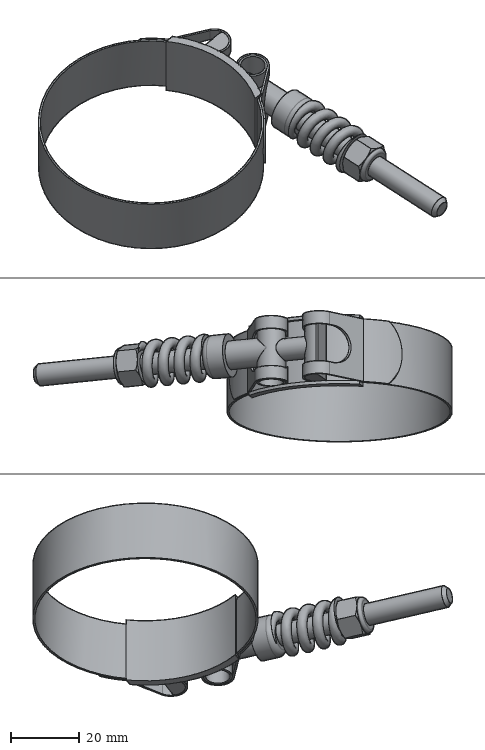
import cadquery as cq
import math


band_radius = 33.1
band_thickness = 0.6
band_width = 19.1
bridge_width = 21.1
bridge_web = 0.75
bridge_length = 34.8
flange_radius = 34.1

axis_y = 36.8
trunnion_x = 7.5
trunnion_radius = 4.25

strap_thickness = 0.6
strap_slope = 59
loop_end_angle = 27
tip_angle = 53.8
tip_radius = 12.6
slot_width = 11.4
slot_bottom_y = 32.3

bolt_radius = 3.3
overall_length = 114.54
bolt_end_x = overall_length - band_radius
bolt_tip_length = 1.2
bolt_tip_radius = 2.3
head_flat_x = -8.45
head_bevel_depth = 0.3
head_bevel_height = 0.6

shell_inner_radius = 3.6
sleeve_radius = 4.25
cup_radius = 6.4
cup_start_x = 20.4
cup_fillet = 1.9

spring_start_x = 27.4
spring_end_x = 47.5
spring_radius = 7.0
wire_radius = 1.55
spring_pitch = 5.05
coil_crest_x = 29.2

nut_flats = 11.1
nut_hex_length = 6.7
nut_collar_radius = 5.45
nut_collar_length = 1.2
nut_collar_fillet = 1.0
nut_chamfer_angle = 30


def rod_along_x(radius, start_x, end_x):
    """Cylinder on the bolt axis."""
    plane = cq.Workplane("YZ", origin=(start_x, axis_y, 0))
    return plane.circle(radius).extrude(end_x - start_x)


def pin_along_z(x, radius):
    """Upright cylinder of band width, crossing the bolt axis at x."""
    return cq.Workplane("XY").center(x, axis_y).circle(radius).extrude(band_width / 2, both=True)


def ring(outer, inner, width):
    """Ring round the Z axis, centered on the XY plane."""
    return cq.Workplane("XY").circle(outer).circle(inner).extrude(width / 2, both=True)


def make_band():
    """Closed band with the U-shaped bridge fixed inside it under the bolt."""
    band_inner = band_radius - band_thickness
    channel = ring(flange_radius, band_inner - bridge_web, bridge_width)
    channel = channel.cut(ring(flange_radius, band_inner, band_width))
    bridge_span = cq.Workplane("XY").box(
        bridge_length, flange_radius, bridge_width, centered=(True, False, True)
    )
    bridge = channel.intersect(bridge_span)
    return ring(band_radius, band_inner, band_width).union(bridge)


def polar(radius, degrees, center=(0, 0)):
    """Point at a radius and angle from a center."""
    angle = math.radians(degrees)
    return (center[0] + radius * math.cos(angle), center[1] + radius * math.sin(angle))


def strap_joint(loop_radius, lap_radius):
    """Where the sloping leg, tangent to the loop, meets the part lapped on the band."""
    normal_angle = 90 + strap_slope
    nx, ny = polar(1, normal_angle)
    offset = -trunnion_x * nx + axis_y * ny + loop_radius
    run = math.sqrt(lap_radius**2 - offset**2)
    return (offset * nx + run * ny, offset * ny - run * nx)


def make_left_strap():
    """Strap lapped on the band, sloping up and hooked over the left trunnion."""
    center = (-trunnion_x, axis_y)
    loop_inner = trunnion_radius
    loop_outer = loop_inner + strap_thickness
    lap_inner = band_radius
    lap_outer = lap_inner + strap_thickness
    tangent_angle = 90 + strap_slope
    loop_middle_angle = (tangent_angle - loop_end_angle) / 2
    tip_direction = 90 + tip_angle
    joint_inner = strap_joint(loop_inner, lap_inner)
    joint_outer = strap_joint(loop_outer, lap_outer)

    def middle_of_lap(joint, radius):
        joint_angle = math.degrees(math.atan2(joint[1], joint[0]))
        return polar(radius, (joint_angle + tip_direction) / 2)

    def loop_point(radius, degrees):
        return polar(radius, degrees, center)

    strap = (
        cq.Workplane("XY")
        .moveTo(*loop_point(loop_outer, -loop_end_angle))
        .threePointArc(loop_point(loop_outer, loop_middle_angle), loop_point(loop_outer, tangent_angle))
        .lineTo(*joint_outer)
        .threePointArc(middle_of_lap(joint_outer, lap_outer), polar(lap_outer, tip_direction))
        .lineTo(*polar(lap_inner, tip_direction))
        .threePointArc(middle_of_lap(joint_inner, lap_inner), joint_inner)
        .lineTo(*loop_point(loop_inner, tangent_angle))
        .threePointArc(loop_point(loop_inner, loop_middle_angle), loop_point(loop_inner, -loop_end_angle))
        .close()
        .extrude(band_width / 2, both=True)
    )
    return strap.cut(tip_trim(tip_direction)).cut(bolt_slot())


def tip_trim(tip_direction):
    """Material outside the rounded tip of the lapped end."""
    depth = 5 * strap_thickness
    outward = polar(1, tip_direction)
    toward_tip = polar(1, tip_direction + 90)
    tip = polar(band_radius - strap_thickness, tip_direction)
    plane = cq.Plane(origin=(*tip, 0), xDir=(*toward_tip, 0), normal=(*outward, 0))
    block = cq.Workplane(plane).rect(tip_radius, 2 * tip_radius).extrude(depth)
    rounding = cq.Workplane(plane).center(-tip_radius, 0).circle(tip_radius).extrude(depth)
    return block.cut(rounding)


def bolt_slot():
    """Round-bottomed slot along X that lets the bolt through the loop."""
    radius = slot_width / 2
    center_y = slot_bottom_y + radius
    top_y = axis_y + 2 * trunnion_radius
    return (
        cq.Workplane("YZ")
        .moveTo(top_y, -radius)
        .lineTo(center_y, -radius)
        .threePointArc((slot_bottom_y, 0), (center_y, radius))
        .lineTo(top_y, radius)
        .close()
        .extrude(-band_radius)
    )


def make_bolt():
    """T-bolt: flat-backed round head across the band and a plain shank."""
    shank = (
        cq.Workplane("XY")
        .moveTo(-trunnion_x, 0)
        .lineTo(-trunnion_x, bolt_radius)
        .lineTo(bolt_end_x - bolt_tip_length, bolt_radius)
        .lineTo(bolt_end_x, bolt_tip_radius)
        .lineTo(bolt_end_x, 0)
        .close()
        .revolve(360, (0, 0, 0), (1, 0, 0))
        .translate((0, axis_y, 0))
    )
    flat_offset = -trunnion_x - head_flat_x
    half_chord = math.sqrt(trunnion_radius**2 - flat_offset**2)
    flat_half = half_chord - head_bevel_height
    bevel_x = head_flat_x + head_bevel_depth
    bevel_half = math.sqrt(trunnion_radius**2 - (bevel_x + trunnion_x) ** 2)
    head = (
        cq.Workplane("XY")
        .moveTo(head_flat_x, axis_y - flat_half)
        .lineTo(bevel_x, axis_y - bevel_half)
        .threePointArc((trunnion_radius - trunnion_x, axis_y), (bevel_x, axis_y + bevel_half))
        .lineTo(head_flat_x, axis_y + flat_half)
        .close()
        .extrude(band_width / 2, both=True)
    )
    return head.union(shank)


def make_trunnion():
    """Hollow trunnion with a sleeve and spring cup, bored for the bolt."""
    cup = rod_along_x(cup_radius, cup_start_x, spring_start_x).faces(">X").edges().fillet(cup_fillet)
    body = pin_along_z(trunnion_x, trunnion_radius)
    body = body.union(rod_along_x(sleeve_radius, trunnion_x, cup_start_x))
    body = body.union(cup)
    body = body.cut(pin_along_z(trunnion_x, shell_inner_radius))
    return body.cut(rod_along_x(bolt_radius, 0, spring_start_x))


def make_spring():
    """Left-hand coil with both ends ground flat."""
    coil_radius = spring_radius - wire_radius
    helix_start = coil_crest_x - spring_pitch
    helix_length = spring_end_x - helix_start + spring_pitch / 2
    helix = cq.Wire.makeHelix(spring_pitch, helix_length, coil_radius, lefthand=True)
    wire_section = cq.Workplane("XZ", origin=(coil_radius, 0, 0)).circle(wire_radius)
    coil = wire_section.sweep(cq.Workplane(helix), isFrenet=True)
    coil = coil.rotate((0, 0, 0), (1, 1, 1), 120)
    coil = coil.translate((helix_start, axis_y, 0))
    return coil.intersect(rod_along_x(2 * spring_radius, spring_start_x, spring_end_x))


def make_nut():
    """Hexagon nut, chamfered at both ends, with a rounded locking collar."""
    hex_end_x = spring_end_x + nut_hex_length
    corner_radius = nut_flats / math.sqrt(3)
    flat_radius = nut_flats / 2
    chamfer = (corner_radius - flat_radius) * math.tan(math.radians(nut_chamfer_angle))
    hexagon = (
        cq.Workplane("YZ", origin=(spring_end_x, axis_y, 0))
        .transformed(rotate=(0, 0, 90))
        .polygon(6, 2 * corner_radius)
        .extrude(nut_hex_length)
    )
    envelope = (
        cq.Workplane("XY")
        .moveTo(spring_end_x, 0)
        .lineTo(spring_end_x, flat_radius)
        .lineTo(spring_end_x + chamfer, corner_radius)
        .lineTo(hex_end_x - chamfer, corner_radius)
        .lineTo(hex_end_x, flat_radius)
        .lineTo(hex_end_x, 0)
        .close()
        .revolve(360, (0, 0, 0), (1, 0, 0))
        .translate((0, axis_y, 0))
    )
    collar = rod_along_x(nut_collar_radius, hex_end_x, hex_end_x + nut_collar_length)
    collar = collar.faces(">X").edges().fillet(nut_collar_fillet)
    nut = hexagon.intersect(envelope).union(collar)
    return nut.cut(rod_along_x(bolt_radius, spring_end_x, hex_end_x + nut_collar_length))


band = make_band()
left_strap = make_left_strap()
right_strap = left_strap.mirror("YZ")
bolt = make_bolt()
trunnion = make_trunnion()
spring = make_spring()
nut = make_nut()

bodies = [band, left_strap, right_strap, bolt, trunnion, spring, nut]
result = cq.Compound.makeCompound([body.solids().val() for body in bodies])